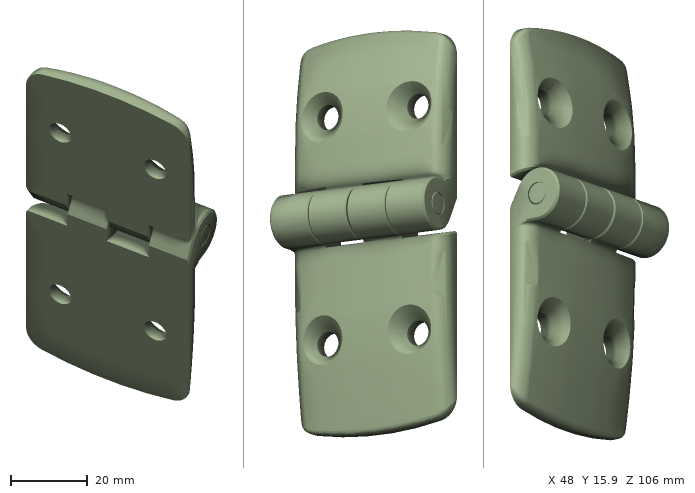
import cadquery as cq
import math

WIDTH = 48.0
HALF_WIDTH = WIDTH / 2
DEPTH = 15.9

END_RADIUS = 101.8
CORNER_RADIUS = 6.0

LEAF_THICKNESS = 7.8
CROWN_RADIUS = 169.6
SIDE_ROUND = 4.2
END_ROUND = 1.3
END_ZONE = 7.4
BACK_SWEEP = 40.0

UPPER_LENGTH = 48.5
LOWER_LENGTH = 106.0 - UPPER_LENGTH
UPPER_HOLES = 27.6
LOWER_HOLES = 32.4
UPPER_CREST = 16.3
LOWER_CREST = 12.1
UPPER_BACK_RADIUS = 137.8
LOWER_BACK_RADIUS = 259.7

KNUCKLE_RADIUS = 7.0
AXIS_Y = DEPTH - KNUCKLE_RADIUS
LEAF_FOOT = 1.6
ROOT_FILLET = 0.8
OUTER_CHAMFER = 0.5
INNER_CHAMFER = 0.26
CHAMFER_STOP_Y = 5.4
OUTER_KNUCKLE_END = -12.1
INNER_KNUCKLE_START = 0.2
INNER_KNUCKLE_END = 11.9
KNUCKLES = [
    (-HALF_WIDTH, OUTER_KNUCKLE_END, OUTER_CHAMFER),
    (INNER_KNUCKLE_START, INNER_KNUCKLE_END, INNER_CHAMFER),
]

NOTCH_FLOOR_FRONT = 5.9
NOTCH_FLOOR_SLOPE = 0.25
NOTCHES = [(OUTER_KNUCKLE_END, INNER_KNUCKLE_START), (INNER_KNUCKLE_END, HALF_WIDTH)]

HOLE_SPACING = 28.0
HOLE_DIAMETER = 6.6
HOLE_STRAIGHT = 3.3
COUNTERSINK_ANGLE = 90.0

PIN_DIAMETER = 6.0
PIN_CHAMFER = 0.4

TOLERANCE = 0.1


def x_prism(outline, start, end):
    """Extrude a closed YZ outline from X = start to X = end."""
    return outline.extrude(end - start).translate((start, 0, 0))


def yz_rectangle(front, back, bottom, top):
    """Closed rectangle in the YZ plane."""
    corners = [(front, bottom), (back, bottom), (back, top), (front, top)]
    return cq.Workplane("YZ").polyline(corners).close()


def leaf_outline(length):
    """Plate of full depth with a bowed free end and rounded corners."""
    corner_x = HALF_WIDTH - CORNER_RADIUS
    end_centre_z = length - END_RADIUS
    corner_z = end_centre_z + math.sqrt((END_RADIUS - CORNER_RADIUS) ** 2 - corner_x**2)
    lean = math.atan2(corner_z - end_centre_z, corner_x)
    tangent = (corner_x + CORNER_RADIUS * math.cos(lean), corner_z + CORNER_RADIUS * math.sin(lean))
    middle = (
        corner_x + CORNER_RADIUS * math.cos(lean / 2),
        corner_z + CORNER_RADIUS * math.sin(lean / 2),
    )
    return (
        cq.Workplane("XZ")
        .moveTo(-HALF_WIDTH, 0)
        .lineTo(HALF_WIDTH, 0)
        .lineTo(HALF_WIDTH, corner_z)
        .threePointArc(middle, tangent)
        .threePointArc((0, length), (-tangent[0], tangent[1]))
        .threePointArc((-middle[0], middle[1]), (-HALF_WIDTH, corner_z))
        .close()
        .extrude(-DEPTH)
    )


def crown_section():
    """Cross-section of a leaf at its thickest: upright sides, rounded corners and a crowned back."""
    round_x = HALF_WIDTH - SIDE_ROUND
    crown_centre = LEAF_THICKNESS - CROWN_RADIUS
    round_y = crown_centre + math.sqrt((CROWN_RADIUS - SIDE_ROUND) ** 2 - round_x**2)
    lean = math.atan2(round_y - crown_centre, round_x)
    tangent = (round_x + SIDE_ROUND * math.cos(lean), round_y + SIDE_ROUND * math.sin(lean))
    middle = (round_x + SIDE_ROUND * math.cos(lean / 2), round_y + SIDE_ROUND * math.sin(lean / 2))
    floor = -LEAF_THICKNESS
    return (
        cq.Workplane("XY")
        .moveTo(-HALF_WIDTH, floor)
        .lineTo(HALF_WIDTH, floor)
        .lineTo(HALF_WIDTH, round_y)
        .threePointArc(middle, tangent)
        .threePointArc((0, LEAF_THICKNESS), (-tangent[0], tangent[1]))
        .threePointArc((-middle[0], middle[1]), (-HALF_WIDTH, round_y))
        .close()
    )


def crowned_back(crest, back_radius):
    """Crown section run straight from the pin axis to the crest, then along the curve of the back."""
    axis_y = LEAF_THICKNESS - back_radius
    curved = crown_section().revolve(BACK_SWEEP, (0, axis_y, 0), (1, axis_y, 0))
    straight = crown_section().extrude(-crest)
    return curved.union(straight).translate((0, 0, crest))


def knuckle(start, end, start_chamfer):
    """Round knuckle with a tangent flank down to the leaf's front edge and a flat top."""
    reach = math.hypot(AXIS_Y, LEAF_FOOT)
    flank_angle = math.asin(KNUCKLE_RADIUS / reach) + math.atan2(LEAF_FOOT, AXIS_Y)
    flank_length = math.sqrt(reach**2 - KNUCKLE_RADIUS**2)
    touch = (flank_length * math.cos(flank_angle), LEAF_FOOT - flank_length * math.sin(flank_angle))
    step_top = 2 * KNUCKLE_RADIUS
    outline = (
        cq.Workplane("YZ")
        .moveTo(0, LEAF_FOOT)
        .lineTo(*touch)
        .threePointArc((DEPTH, 0), (AXIS_Y, KNUCKLE_RADIUS))
        .lineTo(CHAMFER_STOP_Y, KNUCKLE_RADIUS)
        .lineTo(CHAMFER_STOP_Y, step_top)
        .lineTo(0, step_top)
        .close()
    )
    rear_edges = cq.selectors.BoxSelector(
        (start - TOLERANCE, TOLERANCE, -DEPTH), (end + TOLERANCE, DEPTH, KNUCKLE_RADIUS + TOLERANCE)
    )
    body = x_prism(outline, start, end)
    body = body.faces("<X").edges(rear_edges).chamfer(start_chamfer)
    body = body.faces(">X").edges(rear_edges).chamfer(INNER_CHAMFER)
    return body.cut(x_prism(yz_rectangle(0, DEPTH, KNUCKLE_RADIUS, step_top), start, end))


def notch(start, end):
    """Clearance for a knuckle of the other leaf."""
    back_height = NOTCH_FLOOR_FRONT + NOTCH_FLOOR_SLOPE * DEPTH
    outline = (
        cq.Workplane("YZ")
        .polyline([(0, -DEPTH), (0, NOTCH_FLOOR_FRONT), (DEPTH, back_height), (DEPTH, -DEPTH)])
        .close()
    )
    return x_prism(outline, start, end)


def screw_hole(x, z):
    """Through hole that opens into a countersink at the back."""
    flare = DEPTH - HOLE_STRAIGHT
    radius = HOLE_DIAMETER / 2
    wide = radius + flare * math.tan(math.radians(COUNTERSINK_ANGLE / 2))
    return (
        cq.Workplane("XY")
        .polyline([(0, 0), (radius, 0), (radius, HOLE_STRAIGHT), (wide, DEPTH), (0, DEPTH)])
        .close()
        .revolve(360, (0, 0, 0), (0, 1, 0))
        .translate((x, 0, z))
    )


def plate(length, crest, back_radius):
    """Crowned plate reaching down to the pin axis, rounded along its free end."""
    body = leaf_outline(length).intersect(crowned_back(crest, back_radius))
    corner_zone = length - END_ZONE
    end_zone = cq.selectors.BoxSelector((-WIDTH, END_ROUND, corner_zone), (WIDTH, DEPTH, length))
    return body.edges(end_zone).edges("not |Y").fillet(END_ROUND)


def rooted_plate(body, length):
    """Part of the plate above the knuckles, its back filleted into their flat tops."""
    ledge = x_prism(yz_rectangle(0, AXIS_Y, 0, KNUCKLE_RADIUS), -WIDTH, WIDTH)
    below = x_prism(yz_rectangle(-DEPTH, DEPTH, -DEPTH, KNUCKLE_RADIUS), -WIDTH, WIDTH)
    seam = cq.selectors.BoxSelector(
        (-HALF_WIDTH - TOLERANCE, TOLERANCE, KNUCKLE_RADIUS - TOLERANCE),
        (HALF_WIDTH + TOLERANCE, AXIS_Y - TOLERANCE, KNUCKLE_RADIUS + TOLERANCE),
    )
    filleted = body.cut(below).union(ledge).edges(seam).fillet(ROOT_FILLET)
    above = x_prism(yz_rectangle(0, DEPTH, KNUCKLE_RADIUS, length), -HALF_WIDTH, HALF_WIDTH)
    return filleted.intersect(above)


def chamfer_notch_floor(leaf):
    """Chamfer the outer end of the notch floor at the +X side, around the rounded side of the leaf."""
    floor_back = NOTCH_FLOOR_FRONT + NOTCH_FLOOR_SLOPE * LEAF_THICKNESS
    outer_edges = cq.selectors.BoxSelector(
        (HALF_WIDTH - SIDE_ROUND, TOLERANCE, NOTCH_FLOOR_FRONT + TOLERANCE),
        (WIDTH, DEPTH, floor_back),
    )
    return leaf.edges(outer_edges).chamfer(OUTER_CHAMFER)


def pin_cylinder():
    """Cylinder along the pin axis over the whole width."""
    outline = cq.Workplane("YZ").center(AXIS_Y, 0).circle(PIN_DIAMETER / 2)
    return x_prism(outline, -HALF_WIDTH, HALF_WIDTH)


def make_leaf(length, hole_height, crest, back_radius):
    """Leaf that rises from the pin axis, with its outer knuckle at the -X side."""
    leaf = plate(length, crest, back_radius)
    rooted = rooted_plate(leaf, length)
    for start, end in NOTCHES:
        leaf = leaf.cut(notch(start, end))
    leaf = chamfer_notch_floor(leaf)
    for start, end, start_chamfer in KNUCKLES:
        strip = x_prism(yz_rectangle(-DEPTH, DEPTH, -DEPTH, length), start, end)
        leaf = leaf.cut(strip).union(rooted.intersect(strip))
        leaf = leaf.union(knuckle(start, end, start_chamfer))
    for side in (-1, 1):
        leaf = leaf.cut(screw_hole(side * HOLE_SPACING / 2, hole_height))
    return leaf.cut(pin_cylinder())


def make_pin():
    """Pin through all four knuckles, flush with both sides of the hinge."""
    return pin_cylinder().faces("<X or >X").chamfer(PIN_CHAMFER)


upper_leaf = make_leaf(UPPER_LENGTH, UPPER_HOLES, UPPER_CREST, UPPER_BACK_RADIUS)

lower_leaf = make_leaf(LOWER_LENGTH, LOWER_HOLES, LOWER_CREST, LOWER_BACK_RADIUS)
lower_leaf = lower_leaf.rotate((0, 0, 0), (0, 1, 0), 180)

pin = make_pin()

result = cq.Compound.makeCompound([upper_leaf.val(), lower_leaf.val(), pin.val()])